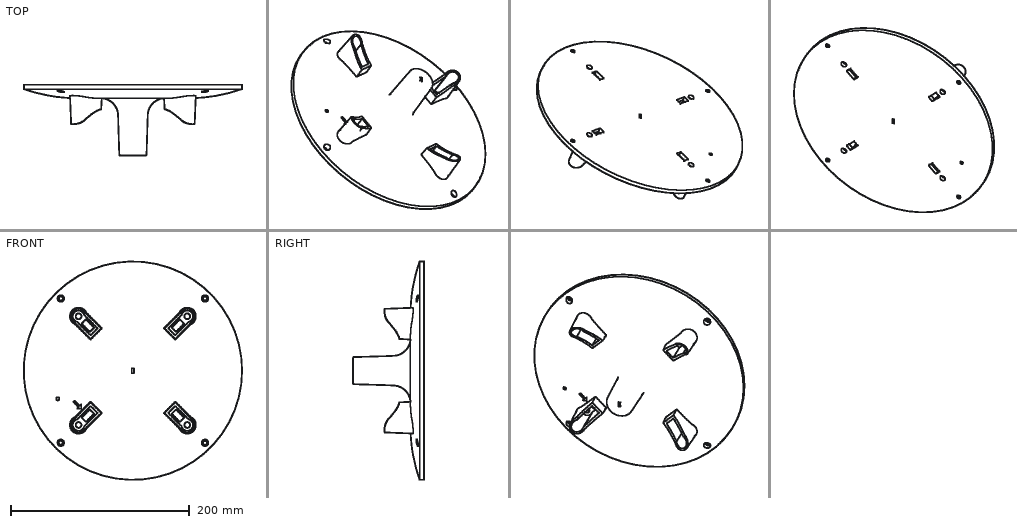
import cadquery as cq
import math


disc_radius = 244.39 / 2
rim_height = 5.0
flat_radius = 62.6
flat_height = 15.3

spindle_height = 79.51
spindle_tip_radius = 15.35
spindle_draft = 1.75
spindle_root_fillet = 19.3
spindle_tip_fillet = 1.7
key_slot_width = 2.3
key_slot_length = 5.3

post_count = 4
first_post_angle = 45.0
post_distance = 85.9
post_base_height = 8.0
post_top_height = 44.5
post_draft = 2.3
post_base_radius = 9.9
post_base_half_width = 9.3
post_inner_end = 57.7
saddle_low_height = 27.5
saddle_low_pull_distance = 74.0
saddle_low_pull_height = 30.0
saddle_high_pull_distance = 88.5
saddle_high_distance = 95.5

pocket_floor_height = 5.0
pocket_radius = 6.5
pocket_half_width = 5.5
pocket_inner_end = 61.4
screw_hole_diameter = 6.2
floor_slot_length = 12.8
floor_slot_width = 6.6
floor_slot_distance = 71.2

rim_hole_distance = 114.0
rim_hole_diameter = 4.4
rim_counterbore_diameter = 7.4
rim_counterbore_floor = 2.0

small_hole_x = -84.0
small_hole_z = -31.5
small_hole_diameter = 3.3
arrow_tip_x = -57.7
arrow_tip_z = -42.4
arrow_angle = -45.0
arrow_length = 11.5
arrow_head_length = 3.3
arrow_head_half_width = 3.3
arrow_shaft_half_width = 1.0
arrow_depth = 0.4


def face_plane(height=0.0):
    """Workplane at a height above the back face, extruding away from it (toward -Y)."""
    return cq.Workplane("XZ", origin=(0, -height, 0))


def around_axis(body, angle):
    """Turn a body lying along +X to an angle from +X toward +Z."""
    return body.rotate((0, 0, 0), (0, -1, 0), angle)


def make_disc():
    """Flat-centred dome whose curved shoulder leaves the flat tangentially."""
    shoulder_width = disc_radius - flat_radius
    shoulder_drop = flat_height - rim_height
    shoulder_radius = (shoulder_width**2 + shoulder_drop**2) / (2 * shoulder_drop)
    half_sweep = math.asin(shoulder_width / shoulder_radius) / 2
    mid_radius = flat_radius + shoulder_radius * math.sin(half_sweep)
    mid_height = flat_height - shoulder_radius * (1 - math.cos(half_sweep))
    return (
        cq.Workplane("XY")
        .lineTo(disc_radius, 0)
        .lineTo(disc_radius, -rim_height)
        .threePointArc((mid_radius, -mid_height), (flat_radius, -flat_height))
        .lineTo(0, -flat_height)
        .close()
        .revolve(360, (0, 0, 0), (0, 1, 0))
    )


def make_spindle():
    """Tapered spindle standing on the flat, with a rounded tip."""
    length = spindle_height - flat_height
    root_radius = spindle_tip_radius + length * math.tan(math.radians(spindle_draft))
    return (
        face_plane(flat_height)
        .circle(root_radius)
        .extrude(length, taper=spindle_draft)
        .faces("<Y")
        .edges()
        .fillet(spindle_tip_fillet)
    )


def fillet_spindle_root(body):
    """Blend the spindle into the flat of the disc."""
    reach = spindle_root_fillet
    margin = 1.0
    low_corner = (-reach, -flat_height - margin, -reach)
    high_corner = (reach, -flat_height + margin, reach)
    near_root = cq.selectors.BoxSelector(low_corner, high_corner)
    return body.edges(near_root).fillet(spindle_root_fillet)


def keyhole(base_height, length, radius, half_width, inner_end, draft=0.0):
    """Round column at the post axis with a straight-sided arm reaching inward to inner_end."""
    column = face_plane(base_height).center(post_distance, 0).circle(radius).extrude(length, taper=draft)
    spread = length * math.tan(math.radians(draft))
    arm = (
        face_plane(base_height)
        .polyline(
            [
                (inner_end, -half_width),
                (post_distance, -half_width),
                (post_distance, half_width),
                (inner_end, half_width),
            ]
        )
        .close()
        .workplane(offset=length)
        .polyline(
            [
                (inner_end + spread, -half_width + spread),
                (post_distance, -half_width + spread),
                (post_distance, half_width - spread),
                (inner_end + spread, half_width - spread),
            ]
        )
        .close()
        .loft(ruled=True)
    )
    return column.union(arm)


def make_post():
    """Keyhole-shaped post whose top sweeps down in an S-curve toward the spindle."""
    post = keyhole(
        post_base_height,
        post_top_height - post_base_height,
        post_base_radius,
        post_base_half_width,
        post_inner_end,
        draft=post_draft,
    )
    outer_end = post_distance + post_base_radius
    saddle = (
        cq.Workplane("XY")
        .moveTo(post_inner_end, -saddle_low_height)
        .bezier(
            [
                (post_inner_end, -saddle_low_height),
                (saddle_low_pull_distance, -saddle_low_pull_height),
                (saddle_high_pull_distance, -post_top_height),
                (saddle_high_distance, -post_top_height),
            ]
        )
        .lineTo(outer_end, -post_top_height)
        .lineTo(outer_end, 0)
        .lineTo(post_inner_end, 0)
        .close()
        .extrude(post_base_radius, both=True)
    )
    return post.intersect(saddle)


def make_pocket():
    """Straight-walled pocket open at the top, plus the two openings through its floor."""
    pocket = keyhole(
        pocket_floor_height,
        post_top_height - pocket_floor_height,
        pocket_radius,
        pocket_half_width,
        pocket_inner_end,
    )
    screw_hole = face_plane().center(post_distance, 0).circle(screw_hole_diameter / 2)
    floor_slot = face_plane().center(floor_slot_distance, 0).rect(floor_slot_length, floor_slot_width)
    for opening in (screw_hole, floor_slot):
        pocket = pocket.union(opening.extrude(flat_height))
    return pocket


def make_rim_hole():
    """Through hole with a counterbore on the domed side."""
    hole = face_plane().center(rim_hole_distance, 0).circle(rim_hole_diameter / 2).extrude(flat_height)
    counterbore = (
        face_plane(rim_counterbore_floor)
        .center(rim_hole_distance, 0)
        .circle(rim_counterbore_diameter / 2)
        .extrude(flat_height)
    )
    return hole.union(counterbore)


def make_arrow(disc):
    """Arrow of constant depth following the domed surface."""
    head_back = -arrow_head_length
    prism = (
        face_plane()
        .polyline(
            [
                (0, 0),
                (head_back, arrow_head_half_width),
                (head_back, arrow_shaft_half_width),
                (-arrow_length, arrow_shaft_half_width),
                (-arrow_length, -arrow_shaft_half_width),
                (head_back, -arrow_shaft_half_width),
                (head_back, -arrow_head_half_width),
            ]
        )
        .close()
        .extrude(flat_height)
    )
    placed = around_axis(prism, arrow_angle).translate((arrow_tip_x, 0, arrow_tip_z))
    return placed.cut(disc.translate((0, arrow_depth, 0)))


disc = make_disc()
result = fillet_spindle_root(disc.union(make_spindle()))

post_angles = [first_post_angle + i * 360 / post_count for i in range(post_count)]
for angle in post_angles:
    result = result.union(around_axis(make_post(), angle))
for angle in post_angles:
    result = result.cut(around_axis(make_pocket(), angle))
    result = result.cut(around_axis(make_rim_hole(), angle))

key_slot = face_plane().rect(key_slot_width, key_slot_length).extrude(spindle_height)
small_hole = face_plane().center(small_hole_x, small_hole_z).circle(small_hole_diameter / 2).extrude(flat_height)
result = result.cut(key_slot).cut(small_hole).cut(make_arrow(disc))